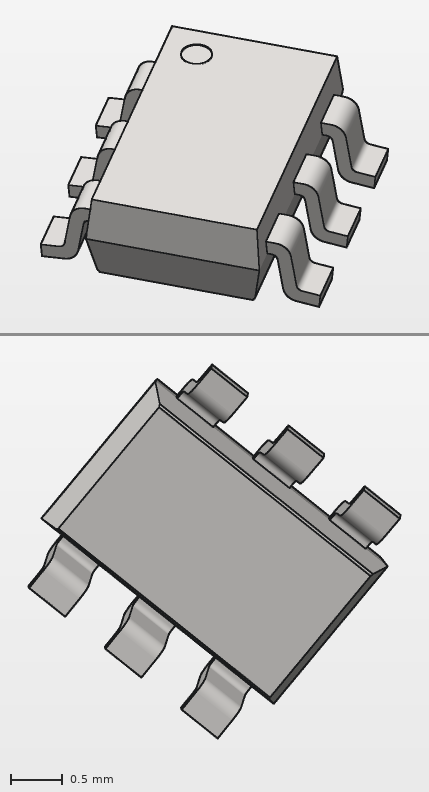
import cadquery as cq
import math

BODY_LENGTH = 2.9
BODY_WIDTH = 1.75
TOP_LENGTH = 2.778
TOP_WIDTH = 1.665
BOTTOM_LENGTH = 2.64
BOTTOM_WIDTH = 1.578
BODY_TOP = 1.0
PARTING_Z = 0.548
BODY_BOTTOM = 0.055
BEVEL_HEIGHT = 0.038
BEVEL_WIDTH = 0.017

MARK_RADIUS = 0.15
MARK_X = -0.485
MARK_Y = 1.04
MARK_DEPTH = 0.012

LEAD_SPAN = 2.82
LEAD_WIDTH = 0.45
LEAD_PITCH = 0.95
LEADS_PER_SIDE = 3
LEAD_THICKNESS = 0.145
LEAD_EMBED = 0.145
SHOULDER_X = 1.093
LEG_ANGLE = math.radians(9.0)
FOOT_ANGLE = math.radians(5.0)
INNER_BEND = 0.065
OUTER_BEND = 0.155


def frustum(z_start, z_end, end_width, end_length):
    """Loft from the parting outline at z_start to a smaller rectangle at z_end."""
    return (
        cq.Workplane("XY", origin=(0, 0, z_start))
        .rect(BODY_WIDTH, BODY_LENGTH)
        .workplane(offset=z_end - z_start)
        .rect(end_width, end_length)
        .loft(ruled=True)
    )


def bevel_cutter(side):
    """Prism that bevels one long bottom edge; side is +1 or -1 along X."""
    edge_x = BOTTOM_WIDTH / 2
    flank_slope = (BODY_WIDTH - BOTTOM_WIDTH) / 2 / (PARTING_Z - BODY_BOTTOM)
    flank_x = edge_x + flank_slope * BEVEL_HEIGHT
    corners = [
        (side * (edge_x - BEVEL_WIDTH), BODY_BOTTOM),
        (side * flank_x, BODY_BOTTOM + BEVEL_HEIGHT),
        (side * flank_x, BODY_BOTTOM),
    ]
    return cq.Workplane("XZ").polyline(corners).close().extrude(BODY_LENGTH / 2, both=True)


def make_body():
    upper = frustum(PARTING_Z, BODY_TOP, TOP_WIDTH, TOP_LENGTH)
    lower = frustum(PARTING_Z, BODY_BOTTOM, BOTTOM_WIDTH, BOTTOM_LENGTH)
    body = upper.union(lower)
    for side in (-1, 1):
        body = body.cut(bevel_cutter(side))
    mark = (
        cq.Workplane("XY", origin=(MARK_X, MARK_Y, BODY_TOP - MARK_DEPTH))
        .circle(MARK_RADIUS)
        .extrude(MARK_DEPTH)
    )
    return body.cut(mark)


def leg_foot_corner(leg_point, foot_point):
    """Intersect the leg line through leg_point with the foot line through foot_point."""
    leg_x, leg_z = leg_point
    foot_x, foot_z = foot_point
    foot_slope = math.tan(FOOT_ANGLE)
    leg_run = math.tan(LEG_ANGLE)
    z_at_leg = foot_z + foot_slope * (foot_x - leg_x)
    drop = (leg_z - z_at_leg) / (1 - foot_slope * leg_run)
    return (leg_x + drop * leg_run, leg_z - drop)


def make_lead():
    """Lead on the +X side, centred on Y = 0."""
    tip_upper = (LEAD_SPAN / 2, LEAD_THICKNESS * math.cos(FOOT_ANGLE))
    tip_lower = (LEAD_SPAN / 2 - LEAD_THICKNESS * math.sin(FOOT_ANGLE), 0)
    shoulder_top = PARTING_Z + LEAD_THICKNESS
    shoulder_outer = (SHOULDER_X, shoulder_top)
    bend_shift = LEAD_THICKNESS * (1 / math.cos(LEG_ANGLE) - math.tan(LEG_ANGLE))
    shoulder_inner = (SHOULDER_X - bend_shift, PARTING_Z)
    root_x = BODY_WIDTH / 2 - LEAD_EMBED
    knee_upper = leg_foot_corner(shoulder_outer, tip_upper)
    knee_lower = leg_foot_corner(shoulder_inner, tip_lower)
    outline = [
        (root_x, shoulder_top),
        shoulder_outer,
        knee_upper,
        tip_upper,
        tip_lower,
        knee_lower,
        shoulder_inner,
        (root_x, PARTING_Z),
    ]
    lead = cq.Workplane("XZ").polyline(outline).close().extrude(LEAD_WIDTH / 2, both=True)
    bends = (
        (shoulder_outer, OUTER_BEND),
        (knee_lower, OUTER_BEND),
        (shoulder_inner, INNER_BEND),
        (knee_upper, INNER_BEND),
    )
    for (x, z), radius in bends:
        lead = lead.edges(cq.NearestToPointSelector((x, 0, z))).fillet(radius)
    return lead


result = make_body()
right_lead = make_lead()
left_lead = right_lead.mirror("YZ")
for index in range(LEADS_PER_SIDE):
    lead_y = (index - (LEADS_PER_SIDE - 1) / 2) * LEAD_PITCH
    for lead in (right_lead, left_lead):
        result = result.union(lead.translate((0, lead_y, 0)))